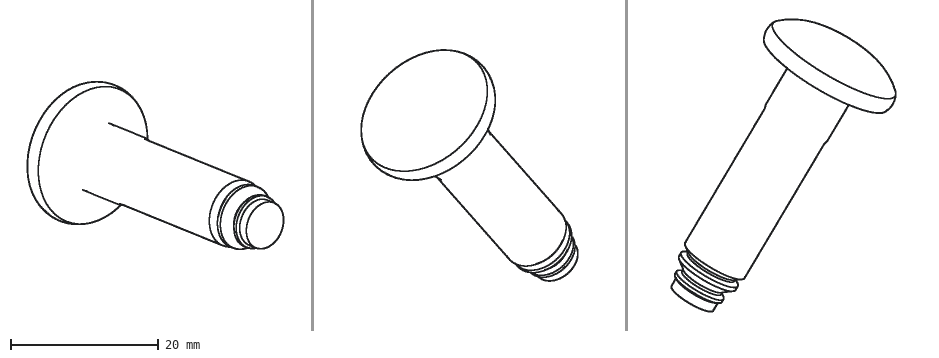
import cadquery as cq
import math


face_radius = 3.6
dome_depth = 2.52
dome_edge_radius = 9.67
head_length = 4.88
rim_crown_radius = 9.95

shoulder_radius = 9.75 / 2
shoulder_end = 12.75
head_fillet = 0.75
shank_radius = 9.42 / 2
shank_start = 13.35
shank_end = 35.17

first_groove_radius = 7.45 / 2
first_groove_start = 35.9
first_groove_end = 36.25
first_rib_radius = 8.95 / 2
first_rib_start = 36.6
first_rib_end = 37.25
second_groove_radius = 6.15 / 2
second_groove_start = 38.4
second_groove_end = 38.8
second_rib_radius = first_groove_radius
second_rib_start = 39.2
second_rib_end = 39.68
tip_radius = 6.6 / 2
tip_start = 39.92
total_length = 41.35

fillet_mid_offset = head_fillet * (1 - math.sqrt(0.5))
fillet_mid = (head_length + fillet_mid_offset, shoulder_radius + fillet_mid_offset)

stepped_outline = [
    (shoulder_end, shoulder_radius),
    (shank_start, shank_radius),
    (shank_end, shank_radius),
    (first_groove_start, first_groove_radius),
    (first_groove_end, first_groove_radius),
    (first_rib_start, first_rib_radius),
    (first_rib_end, first_rib_radius),
    (second_groove_start, second_groove_radius),
    (second_groove_end, second_groove_radius),
    (second_rib_start, second_rib_radius),
    (second_rib_end, second_rib_radius),
    (tip_start, tip_radius),
    (total_length, tip_radius),
]

profile = (
    cq.Workplane("XY")
    .lineTo(0, face_radius)
    .tangentArcPoint((dome_depth, dome_edge_radius), relative=False)
    .threePointArc(
        ((dome_depth + head_length) / 2, rim_crown_radius),
        (head_length, dome_edge_radius),
    )
    .lineTo(head_length, shoulder_radius + head_fillet)
    .threePointArc(fillet_mid, (head_length + head_fillet, shoulder_radius))
)
for position, radius in stepped_outline:
    profile = profile.lineTo(position, radius)

result = profile.lineTo(total_length, 0).close().revolve(360, (0, 0, 0), (1, 0, 0))